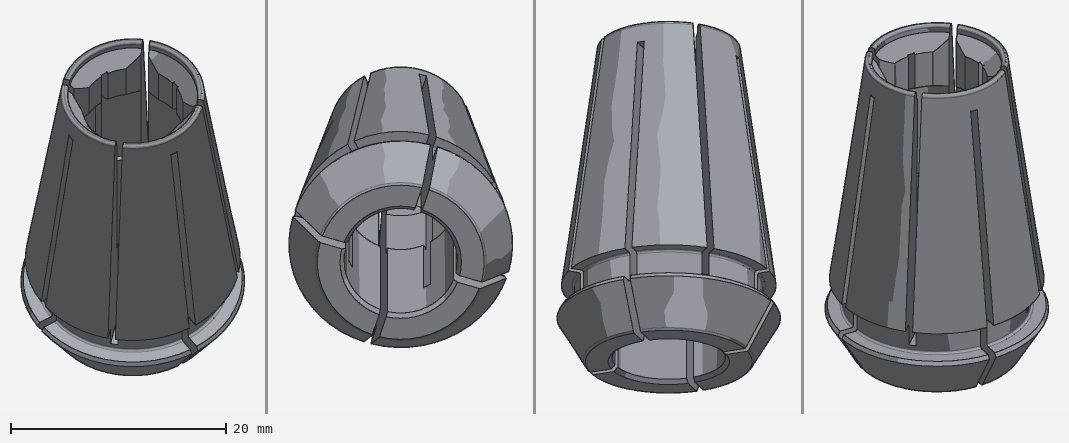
import cadquery as cq
import math

height = 31.5

foot_radius = 7.75
foot_bevel_width = 0.2
foot_bevel_height = 0.2
rim_radius = 10.4
rim_height = 4.38
head_top = 4.8
head_top_radius = 10.17

groove_radius = 8.75
groove_top = 7.65
groove_fillet = 0.22

taper_base_radius = 10.0
taper_angle = 8.0
lip_radius = 0.28

shank_radius = 5.25
bore_chamfer = 0.38
shank_depth = 15.75
relief_radius = 5.73
relief_top = 25.1
relief_cone_angle = 30.0
drive_radius = 4.7
drive_square = 8.45
mouth_radius = 6.05
mouth_cylinder_bottom = 30.75
mouth_cone_angle = 45.0

slot_width = 0.7
lower_slot_top = 29.48
upper_slot_floor = 5.48
slot_length = 2.5 * rim_radius


def revolve_about_axis(outline):
    """Close a profile in the XZ plane and spin it about Z."""
    return outline.close().revolve(360, (0, 0, 0), (0, 1, 0))


def arc_point(center_x, center_z, radius, degrees):
    """Point on a circle in the profile plane."""
    angle = math.radians(degrees)
    return center_x + radius * math.cos(angle), center_z + radius * math.sin(angle)


def make_body():
    """Solid of revolution with the head, groove and taper."""
    slope = math.tan(math.radians(taper_angle))
    taper_top = height - lip_radius
    taper_top_radius = taper_base_radius - (taper_top - groove_top) * slope
    lip_center = taper_top_radius - lip_radius
    fillet_center = groove_radius + groove_fillet
    fillet_low = head_top + groove_fillet
    fillet_high = groove_top - groove_fillet
    low_middle = arc_point(fillet_center, fillet_low, groove_fillet, 225)
    high_middle = arc_point(fillet_center, fillet_high, groove_fillet, 135)
    lip_middle = arc_point(lip_center, taper_top, lip_radius, 45)
    outline = (
        cq.Workplane("XZ")
        .lineTo(foot_radius, 0)
        .lineTo(foot_radius + foot_bevel_width, foot_bevel_height)
        .lineTo(rim_radius, rim_height)
        .lineTo(head_top_radius, head_top)
        .lineTo(fillet_center, head_top)
        .threePointArc(low_middle, (groove_radius, fillet_low))
        .lineTo(groove_radius, fillet_high)
        .threePointArc(high_middle, (fillet_center, groove_top))
        .lineTo(taper_base_radius, groove_top)
        .lineTo(taper_top_radius, taper_top)
        .threePointArc(lip_middle, (lip_center, height))
        .lineTo(0, height)
    )
    return revolve_about_axis(outline)


def make_shank_bore():
    """Shank bore with a chamfered entry that widens into a relief with a conical end."""
    cone_height = relief_radius * math.tan(math.radians(relief_cone_angle))
    cone_tip = relief_top + cone_height
    outline = (
        cq.Workplane("XZ")
        .lineTo(shank_radius + bore_chamfer, 0)
        .lineTo(shank_radius, bore_chamfer)
        .lineTo(shank_radius, shank_depth)
        .lineTo(relief_radius, shank_depth)
        .lineTo(relief_radius, relief_top)
        .lineTo(0, cone_tip)
    )
    return revolve_about_axis(outline)


def make_mouth():
    """Countersink at the small end, with a rounded inner lip."""
    cone_tip = mouth_cylinder_bottom - mouth_radius / math.tan(math.radians(mouth_cone_angle))
    lip_center = mouth_radius + lip_radius
    lip_bottom = height - lip_radius
    outline = (
        cq.Workplane("XZ")
        .moveTo(0, cone_tip)
        .lineTo(mouth_radius, mouth_cylinder_bottom)
        .lineTo(mouth_radius, lip_bottom)
        .threePointArc(arc_point(lip_center, lip_bottom, lip_radius, 135), (lip_center, height))
        .lineTo(0, height)
    )
    return revolve_about_axis(outline)


def make_drive_hole():
    """Square drive hole with its flats relieved by a round hole."""
    base = cq.Workplane("XY").workplane(offset=relief_top)
    depth = mouth_cylinder_bottom - relief_top
    square = base.rect(drive_square, drive_square).extrude(depth)
    return square.union(base.circle(drive_radius).extrude(depth))


def make_slot(angle, bottom, top):
    """Straight saw cut across the full diameter."""
    slot = cq.Workplane("XY").workplane(offset=bottom).rect(slot_length, slot_width).extrude(top - bottom)
    return slot.rotate((0, 0, 0), (0, 0, 1), angle)


result = make_body().cut(make_shank_bore()).cut(make_drive_hole()).cut(make_mouth())

for angle in (0, 90):
    result = result.cut(make_slot(angle, 0, lower_slot_top))
    result = result.cut(make_slot(angle + 45, upper_slot_floor, height))